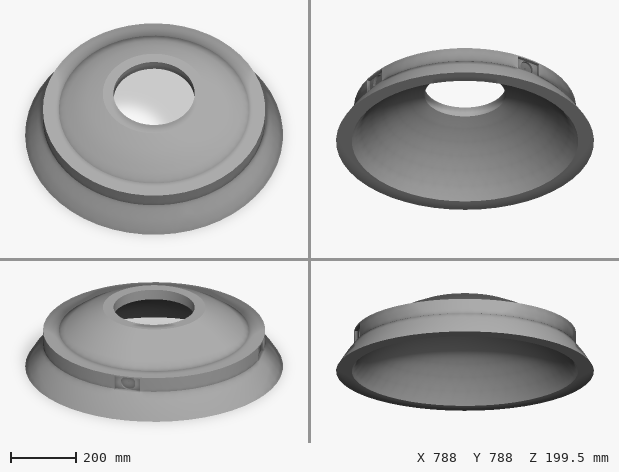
import cadquery as cq
import math

base_radius = 394.0
height = 199.5
crown_radius = 157.0
bore_diameter = 248.0
shell_thickness = 41.0

band_diameter = 679.5
band_bottom = 76.0
band_top = 122.0

seat_width = 80.0
seat_bottom = 73.0
seat_height = 45.0
seat_depth = 13.0
socket_diameter = 45.0
socket_depth = 8.0
pilot_diameter = 4.0
pilot_depth = 8.0
seat_angles = (90, 180)

sphere_z = (crown_radius**2 + height**2 - base_radius**2) / (2 * height)
outer_sphere_radius = math.hypot(base_radius, sphere_z)
inner_sphere_radius = outer_sphere_radius - shell_thickness
band_radius = band_diameter / 2


def sphere(radius):
    return cq.Workplane("XY").sphere(radius).translate((0, 0, sphere_z))


def disc(diameter, bottom, top):
    return cq.Workplane("XY").workplane(offset=bottom).circle(diameter / 2).extrude(top - bottom)


def seat_cutter(angle):
    """Rectangular recess with a round socket and a pilot hole in its floor."""
    floor_x = band_radius - seat_depth
    center_z = seat_bottom + seat_height / 2
    floor = cq.Workplane("YZ", origin=(floor_x, 0, center_z))
    recess = floor.rect(seat_width, seat_height).extrude(base_radius - floor_x)
    socket = floor.circle(socket_diameter / 2).extrude(-socket_depth)
    pilot = floor.circle(pilot_diameter / 2).extrude(-(socket_depth + pilot_depth))
    cutter = recess.union(socket).union(pilot)
    return cutter.rotate((0, 0, 0), (0, 0, 1), angle)


dome = sphere(outer_sphere_radius).intersect(disc(2 * base_radius, 0, height))
band = disc(band_diameter, band_bottom, band_top)
body = dome.union(band).cut(sphere(inner_sphere_radius)).cut(disc(bore_diameter, 0, height))

for seat_angle in seat_angles:
    body = body.cut(seat_cutter(seat_angle))

result = body